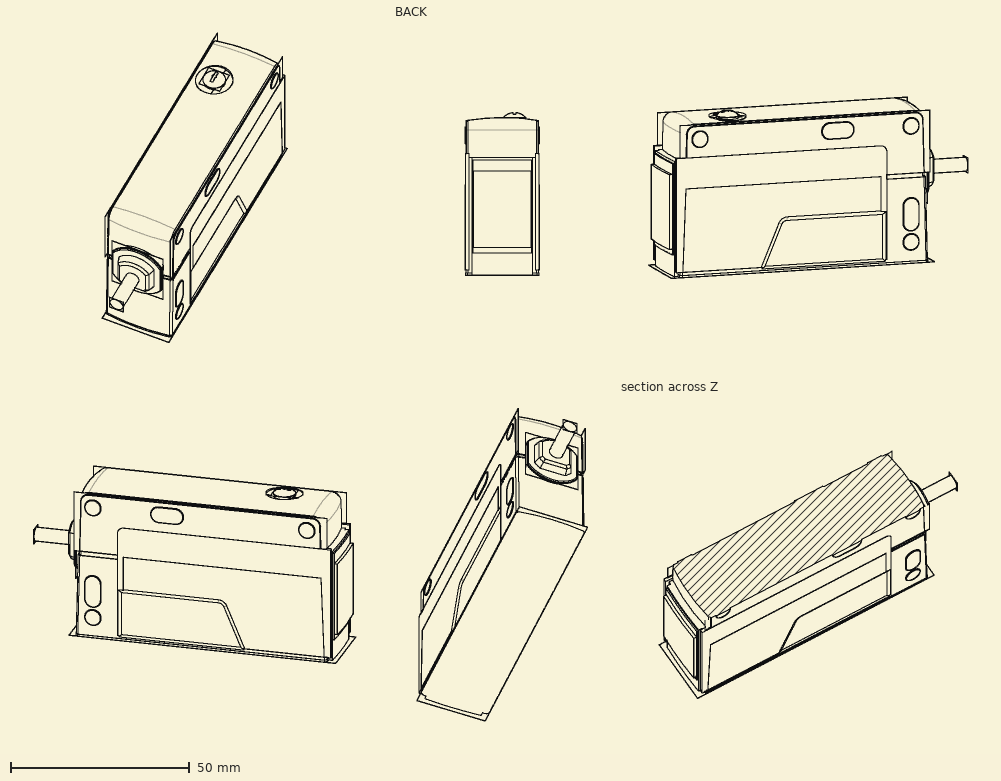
import cadquery as cq
import math

SHEET = 0.1

HALF_WIDTH = 10.2
FOOT_FRONT_Y = -0.2
FOOT_REAR_Y = 73.7
END_LEAN = 1.1
CROWN_Z = 44.1
EDGE_Z = 43.35
EDGE_CHAMFER = 0.6
END_BOW = CROWN_Z - EDGE_Z
CORNER_SETBACK = EDGE_CHAMFER
PARTING_Z = 25.2
TOP_ROUND = 3.4

REAR_BLOCK_Y = 74.1
REAR_BLOCK_Z = 32.9
REAR_BLOCK_START = 63.1
REAR_STEPS = [
    (8.5, 0, 32.9, 74.9),
    (8.3, 6.2, 32.2, 75.35),
    (8.1, 7.8, 29.1, 76.25),
]
REAR_COVER_BOW = 0.3
REAR_COVER_SETBACK = 0.1

LIP_HEIGHT = 0.6
LIP_OVERHANG = 0.1

GROOVE_WIDTH = 1.3
GROOVE_DEPTH = 0.3
GROOVE_DROP = 0.3

BASE_FRONT_Y = -1.35
BASE_REAR_Y = 76.1
BASE_HALF_WIDTH = 10.3
SIDE_PLATE_REAR_Y = 73.5
SIDE_PLATE_FACE = HALF_WIDTH - SHEET
SIDE_PLATE_TOP = 43.3

SIDE_ROOT_X = HALF_WIDTH - 0.9
PANEL_FACE = 10.3
LOWER_PANEL_FACE = 10.4
LOWER_PANEL_FRONT_Y = 14.4
LOWER_PANEL_REAR_Y = 72.7
LOWER_PANEL_LEAN = 0.9
PANEL_FRONT_Y = 12.7
PANEL_REAR_Y = 74.5
PANEL_BOTTOM_Z = 1.5
PANEL_TOP_Z = 34.0
PANEL_CORNER = 1.8
GRIP_TOP_Z = 15.5
GRIP_BOTTOM_Z = LIP_HEIGHT
GRIP_TOP_Y = 43.8
GRIP_BOTTOM_Y = 50.1
GRIP_DEPTH = 0.45
GRIP_WALL_TAPER = 68.0
GRIP_CORNER = 1.8
PAD_FACE = 10.5
PAD_CHAMFER = 0.2
PAD_WIDTH = 4.8
PAD_LENGTH = 9.55
FRONT_PAD_Y = 5.6
REAR_PAD_Y = 67.7
MIDDLE_PAD_Y = 27.1
UPPER_PAD_Z = 39.1
UPRIGHT_PAD_Z = 14.0
LOWER_PAD_Z = 6.1

SHAFT_Z = 25.15
SHAFT_DIAMETER = 4.0
SHAFT_TIP_Y = -13.9
END_SQUARE = 4.2
FLANGE_RADIUS = 8.8
FLANGE_FLAT = 7.5
FLANGE_FRONT_Y = -0.7
FLANGE_CHAMFER = 0.3
FLANGE_PLATE_HALF = 7.8
BOSS_HALF_WIDTH = 5.7
BOSS_BOTTOM_Z = 19.6
BOSS_SHOULDER_Z = 28.8
BOSS_TOP_Z = 31.8
BOSS_CORNER = 1.8
BOSS_FRONT_Y = -3.2
BOSS_TAPER = 18.0
BOSS_CHAMFER = 0.6
ROOT_Y = 1.8

BUTTON_X = -3.4
BUTTON_Y = 57.3
BUTTON_RADIUS = 3.15
BUTTON_TOP_Z = 45.5
BUTTON_SQUARE = 6.4
BUTTON_ROOT = 0.9
DISH_DIAMETER = 10.5
DISH_FLOOR_Z = 43.4
DISH_STEP_X = -2.25
DISH_STEP_DEPTH = 0.2
BUTTON_SLOT_WIDTH = 0.8
BUTTON_SLOT_DEPTH = 0.45
BUTTON_HOLE = 1.4


def block(x_range, y_range, z_range):
    """Box between two limits along each axis."""
    size = [high - low for low, high in (x_range, y_range, z_range)]
    corner = (x_range[0], y_range[0], z_range[0])
    return cq.Workplane("XY").box(*size, centered=False).translate(corner)


def both_sides(shape):
    """A +X side feature together with its mirror image at -X."""
    return shape.union(shape.mirror("YZ"))


def bowed_outline(plane, front_y, rear_y, half_width, bow, setback):
    """Closed outline with bowed ends and cut corners."""
    end_x = half_width - setback
    front_end = front_y + bow
    rear_end = rear_y - bow
    return (
        plane
        .moveTo(-end_x, front_end)
        .threePointArc((0, front_y), (end_x, front_end))
        .lineTo(half_width, front_end + setback)
        .lineTo(half_width, rear_end - setback)
        .lineTo(end_x, rear_end)
        .threePointArc((0, rear_y), (-end_x, rear_end))
        .lineTo(-half_width, rear_end - setback)
        .lineTo(-half_width, front_end + setback)
        .close()
    )


def bowed_prism(front_y, rear_y, half_width, bow, setback, height):
    """Upright prism on the base, over an outline with bowed ends."""
    outline = bowed_outline(cq.Workplane("XY"), front_y, rear_y, half_width, bow, setback)
    return outline.extrude(height)


def leaning_block(inset):
    """Housing block with ends that lean inwards, its skin moved in by an inset."""
    half_width = HALF_WIDTH - inset
    front_y = FOOT_FRONT_Y + inset
    rear_y = FOOT_REAR_Y - inset
    foot = bowed_outline(cq.Workplane("XY"), front_y, rear_y, half_width, END_BOW, CORNER_SETBACK)
    return bowed_outline(
        foot.workplane(offset=CROWN_Z),
        front_y + END_LEAN,
        rear_y - END_LEAN,
        half_width,
        END_BOW,
        CORNER_SETBACK,
    ).loft(ruled=True)


def crown_outline(plane, low):
    """Crowned section with cut long edges, closed by a straight line at a low level."""
    crown_x = HALF_WIDTH - EDGE_CHAMFER
    return (
        plane
        .moveTo(-HALF_WIDTH, low)
        .lineTo(HALF_WIDTH, low)
        .lineTo(HALF_WIDTH, EDGE_Z - EDGE_CHAMFER)
        .lineTo(crown_x, EDGE_Z)
        .threePointArc((0, CROWN_Z), (-crown_x, EDGE_Z))
        .lineTo(-HALF_WIDTH, EDGE_Z - EDGE_CHAMFER)
        .close()
    )


def housing():
    """Leaning block with a crowned top that rolls over at both ends."""
    roll_z = CROWN_Z - TOP_ROUND
    face_inset = END_LEAN * roll_z / CROWN_Z
    roll_y = FOOT_FRONT_Y + face_inset + TOP_ROUND
    rear_roll_y = FOOT_REAR_Y - face_inset - TOP_ROUND
    lower = leaning_block(0).intersect(
        block((-HALF_WIDTH, HALF_WIDTH), (FOOT_FRONT_Y, FOOT_REAR_Y), (0, roll_z))
    )
    roll_plane = cq.Workplane("XZ", origin=(0, roll_y, 0))
    top = crown_outline(roll_plane, roll_z).extrude(roll_y - rear_roll_y)
    front_roll = crown_outline(roll_plane, roll_z).revolve(90, (-0.9, roll_z, 0), (0.9, roll_z, 0))
    rear_roll = front_roll.mirror("XZ", (0, (roll_y + rear_roll_y) / 2, 0))
    return lower.union(top).union(front_roll).union(rear_roll)


def rear_housing():
    """Lower rear block with a stepped, bowed cover on its back."""
    body = bowed_prism(
        REAR_BLOCK_START, REAR_BLOCK_Y, HALF_WIDTH, END_BOW, CORNER_SETBACK, REAR_BLOCK_Z
    )
    for half_width, low_z, high_z, rear_y in REAR_STEPS:
        step = bowed_prism(
            REAR_BLOCK_START, rear_y, half_width, REAR_COVER_BOW, REAR_COVER_SETBACK, high_z - low_z
        )
        body = body.union(step.translate((0, 0, low_z)))
    return body


def parting_groove():
    """Shallow groove around the front, ahead of the side panels."""
    middle_z = PARTING_Z - GROOVE_DROP
    z_range = (middle_z - GROOVE_WIDTH / 2, middle_z + GROOVE_WIDTH / 2)
    band = block((-PAD_FACE, PAD_FACE), (FOOT_FRONT_Y, PANEL_FRONT_Y), z_range)
    return band.cut(leaning_block(GROOVE_DEPTH))


def foot_lip():
    """Low lip that stands slightly proud around the foot."""
    return bowed_prism(
        FOOT_FRONT_Y - LIP_OVERHANG,
        REAR_BLOCK_Y + LIP_OVERHANG,
        HALF_WIDTH + LIP_OVERHANG,
        END_BOW,
        CORNER_SETBACK,
        LIP_HEIGHT,
    )


def side_panel():
    """Raised panel on the +X side, its lower part standing a little prouder."""
    panel = (
        block((SIDE_ROOT_X, PANEL_FACE), (PANEL_FRONT_Y, PANEL_REAR_Y), (PANEL_BOTTOM_Z, PANEL_TOP_Z))
        .edges("|X and >Z and <Y")
        .fillet(PANEL_CORNER)
    )
    lower = (
        cq.Workplane("YZ", origin=(SIDE_ROOT_X, 0, 0))
        .polyline([
            (LOWER_PANEL_FRONT_Y, PANEL_BOTTOM_Z),
            (LOWER_PANEL_REAR_Y, PANEL_BOTTOM_Z),
            (LOWER_PANEL_REAR_Y - LOWER_PANEL_LEAN, PARTING_Z),
            (LOWER_PANEL_FRONT_Y, PARTING_Z),
        ])
        .close()
        .extrude(LOWER_PANEL_FACE - SIDE_ROOT_X)
    )
    return panel.union(lower)


def grip_recess():
    """Recess in the +X panel, sloped at its rear end and narrowing inwards."""
    blunt_top = (GRIP_TOP_Y - GRIP_CORNER, GRIP_TOP_Z)
    slope_length = math.hypot(GRIP_BOTTOM_Y - GRIP_TOP_Y, GRIP_TOP_Z - GRIP_BOTTOM_Z)
    reach = GRIP_CORNER / slope_length
    blunt_slope = (
        GRIP_TOP_Y + reach * (GRIP_BOTTOM_Y - GRIP_TOP_Y),
        GRIP_TOP_Z - reach * (GRIP_TOP_Z - GRIP_BOTTOM_Z),
    )
    return (
        cq.Workplane("YZ", origin=(LOWER_PANEL_FACE, 0, 0))
        .moveTo(PANEL_FRONT_Y, GRIP_BOTTOM_Z)
        .lineTo(GRIP_BOTTOM_Y, GRIP_BOTTOM_Z)
        .lineTo(*blunt_slope)
        .tangentArcPoint(blunt_top, relative=False)
        .lineTo(PANEL_FRONT_Y, GRIP_TOP_Z)
        .close()
        .extrude(-GRIP_DEPTH, taper=GRIP_WALL_TAPER)
    )


def side_pads():
    """Round and long pads standing proud of the +X side."""
    plane = cq.Workplane("YZ", origin=(SIDE_ROOT_X, 0, 0))
    height = PAD_FACE - SIDE_ROOT_X
    rounds = plane.pushPoints([
        (REAR_PAD_Y, UPPER_PAD_Z),
        (FRONT_PAD_Y, UPPER_PAD_Z),
        (FRONT_PAD_Y, LOWER_PAD_Z),
    ]).circle(PAD_WIDTH / 2).extrude(height)
    level = plane.center(MIDDLE_PAD_Y, UPPER_PAD_Z).slot2D(PAD_LENGTH, PAD_WIDTH).extrude(height)
    upright = (
        plane.center(FRONT_PAD_Y, UPRIGHT_PAD_Z).slot2D(PAD_LENGTH, PAD_WIDTH, 90).extrude(height)
    )
    return rounds.union(level).union(upright).faces(">X").chamfer(PAD_CHAMFER)


def thin_plates():
    """Base plate under the housing and a plate along each upper side."""
    base = block((-BASE_HALF_WIDTH, BASE_HALF_WIDTH), (BASE_FRONT_Y, BASE_REAR_Y), (0, SHEET))
    side = block(
        (SIDE_PLATE_FACE - SHEET, SIDE_PLATE_FACE), (0, SIDE_PLATE_REAR_Y), (PARTING_Z, SIDE_PLATE_TOP)
    )
    return base.union(both_sides(side))


def front_plane(y):
    """Sketch plane facing -Y, centred on the shaft axis."""
    return cq.Workplane("XZ", origin=(0, y, SHAFT_Z))


def flange():
    """Round flange with two side flats, backed by a thin rectangular plate."""
    depth = ROOT_Y - FLANGE_FRONT_Y
    disc = front_plane(ROOT_Y).circle(FLANGE_RADIUS).extrude(depth)
    flats = front_plane(ROOT_Y).rect(2 * FLANGE_FLAT, 2 * FLANGE_RADIUS).extrude(depth)
    plate = front_plane(0).rect(2 * FLANGE_PLATE_HALF, 2 * FLANGE_RADIUS).extrude(SHEET)
    return disc.intersect(flats).faces("<Y").chamfer(FLANGE_CHAMFER).union(plate)


def boss():
    """Tapered boss with an arched top and cut lower corners."""
    corner_x = BOSS_HALF_WIDTH - BOSS_CORNER
    corner_z = BOSS_BOTTOM_Z + BOSS_CORNER
    return (
        cq.Workplane("XZ")
        .moveTo(-corner_x, BOSS_BOTTOM_Z)
        .lineTo(corner_x, BOSS_BOTTOM_Z)
        .lineTo(BOSS_HALF_WIDTH, corner_z)
        .lineTo(BOSS_HALF_WIDTH, BOSS_SHOULDER_Z)
        .threePointArc((0, BOSS_TOP_Z), (-BOSS_HALF_WIDTH, BOSS_SHOULDER_Z))
        .lineTo(-BOSS_HALF_WIDTH, corner_z)
        .close()
        .extrude(-BOSS_FRONT_Y, taper=BOSS_TAPER)
        .faces("<Y")
        .chamfer(BOSS_CHAMFER)
    )


def shaft():
    """Round shaft ending in a thin square plate."""
    rod = front_plane(0).circle(SHAFT_DIAMETER / 2).extrude(-SHAFT_TIP_Y)
    square = front_plane(SHAFT_TIP_Y + SHEET).rect(END_SQUARE, END_SQUARE).extrude(SHEET)
    return rod.union(square)


def button_dish():
    """Round recess around the button, one step deeper towards +X."""
    dish = (
        cq.Workplane("XY", origin=(BUTTON_X, BUTTON_Y, DISH_FLOOR_Z - DISH_STEP_DEPTH))
        .circle(DISH_DIAMETER / 2)
        .extrude(BUTTON_TOP_Z - DISH_FLOOR_Z)
    )
    ledge = block(
        (BUTTON_X - DISH_DIAMETER, DISH_STEP_X),
        (BUTTON_Y - DISH_DIAMETER, BUTTON_Y + DISH_DIAMETER),
        (DISH_FLOOR_Z - DISH_STEP_DEPTH, DISH_FLOOR_Z),
    )
    return dish.cut(ledge)


def button():
    """Domed button on a thin square plate, with a slot and a centre hole."""
    root_z = DISH_FLOOR_Z - BUTTON_ROOT
    rim_z = CROWN_Z
    rise = BUTTON_TOP_Z - rim_z
    dome_radius = (BUTTON_RADIUS**2 + rise**2) / (2 * rise)
    ball = cq.Workplane("XY").sphere(dome_radius).translate((0, 0, BUTTON_TOP_Z - dome_radius))
    foot = cq.Workplane("XY", origin=(0, 0, root_z))
    post = foot.circle(BUTTON_RADIUS).extrude(BUTTON_TOP_Z - root_z)
    rim = cq.Workplane("XY", origin=(0, 0, rim_z))
    plate = rim.rect(BUTTON_SQUARE, BUTTON_SQUARE).extrude(-SHEET)
    slot_floor = cq.Workplane("XY", origin=(0, 0, BUTTON_TOP_Z - BUTTON_SLOT_DEPTH))
    slot = slot_floor.rect(BUTTON_SLOT_WIDTH, BUTTON_SQUARE).extrude(BUTTON_SLOT_DEPTH)
    hole = slot_floor.polygon(4, BUTTON_HOLE).extrude(BUTTON_SLOT_DEPTH)
    shape = ball.intersect(post).union(plate).cut(slot).cut(hole)
    return shape.translate((BUTTON_X, BUTTON_Y, 0))


body = housing().union(rear_housing()).union(foot_lip())
body = body.union(both_sides(side_panel())).union(thin_plates())
body = body.cut(parting_groove()).cut(both_sides(grip_recess())).cut(button_dish())
body = body.union(both_sides(side_pads()))
result = body.union(flange()).union(boss()).union(shaft()).union(button())